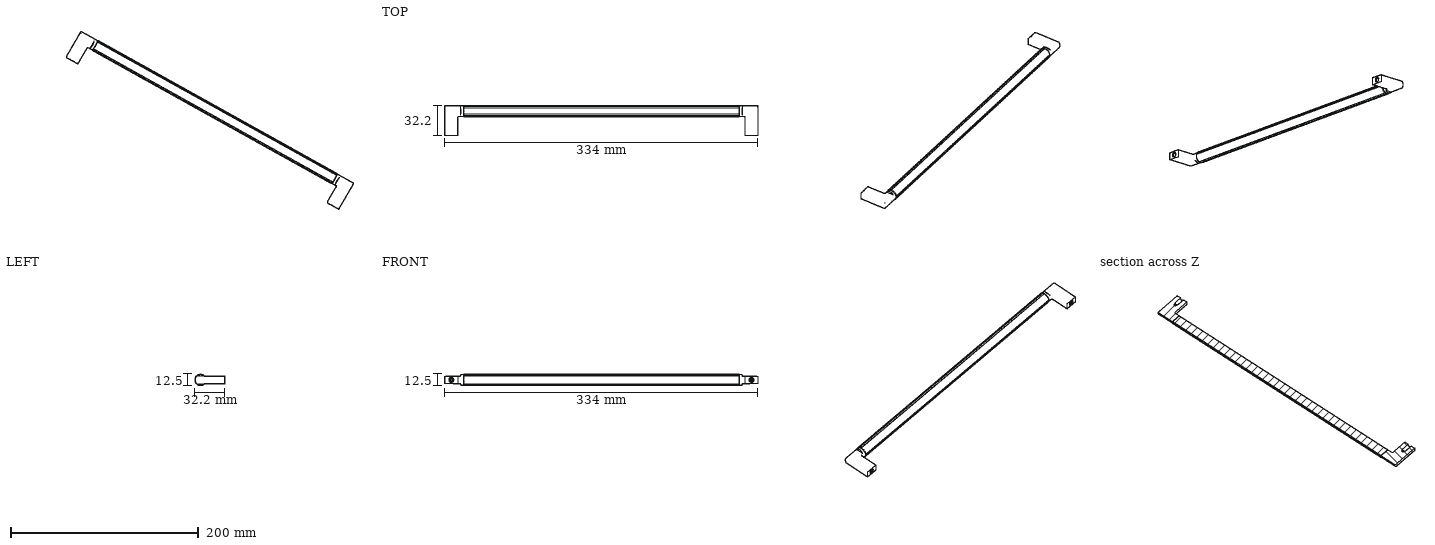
import cadquery as cq
import math

OVERALL_LENGTH = 334.0
LEG_REACH = 26.0

BAR_RADIUS = 12.5 / 2
BAR_INSET = 20.0
BAR_LENGTH = OVERALL_LENGTH - 2 * BAR_INSET
BAR_END_CHAMFER = 0.5
FLUTE_COUNT = 14
FLUTE_PITCH = 360 / FLUTE_COUNT
FLUTE_RADIUS = 0.87
FLUTE_WIDTH = 1.6
RIDGE_FILLET = 0.2

NECK_RADIUS = 11.7 / 2
LEG_WIDTH = 14.0
FLAT_LENGTH = 16.7
RAMP_LENGTH = 0.7
FLAT_END_HALF_HEIGHT = 8.5 / 2
TAPER_SLOPE = math.tan(math.radians(0.9))
EDGE_FILLET = 0.7
INNER_CORNER_FILLET = 1.0

HOLE_OFFSET = LEG_WIDTH / 2
HOLE_RADIUS = 3.7 / 2
HOLE_DEPTH = 10.0
MOUTH_CHAMFER = 0.85
PILOT_RADIUS = 2.0 / 2
PILOT_DEPTH = 12.0


def polar(radius, angle):
    """Point in the bar's cross-section at an angle in degrees from +Y."""
    return radius * math.cos(math.radians(angle)), radius * math.sin(math.radians(angle))


def make_bar():
    """Round bar with concave flutes all along it, rounded ridges and chamfered ends."""
    half_width = FLUTE_WIDTH / 2
    half_flute = math.degrees(math.asin(half_width / BAR_RADIUS))
    flute_sagitta = FLUTE_RADIUS - math.sqrt(FLUTE_RADIUS**2 - half_width**2)
    floor_radius = BAR_RADIUS * math.cos(math.radians(half_flute)) - flute_sagitta

    section = cq.Workplane("YZ").moveTo(*polar(BAR_RADIUS, -half_flute))
    for index in range(FLUTE_COUNT):
        flute = index * FLUTE_PITCH
        ridge = flute + FLUTE_PITCH / 2
        next_flute = flute + FLUTE_PITCH
        section = section.threePointArc(polar(floor_radius, flute), polar(BAR_RADIUS, flute + half_flute))
        section = section.threePointArc(polar(BAR_RADIUS, ridge), polar(BAR_RADIUS, next_flute - half_flute))
    fluted = section.close().extrude(BAR_LENGTH).edges("|X").fillet(RIDGE_FILLET)

    envelope = cq.Workplane("YZ").circle(BAR_RADIUS).extrude(BAR_LENGTH)
    envelope = envelope.faces("<X or >X").chamfer(BAR_END_CHAMFER)
    return fluted.intersect(envelope).translate((BAR_INSET, 0, 0))


def flat_half_height(x):
    """Height of the tapered flats above the bar axis, which grows towards the neck."""
    return FLAT_END_HALF_HEIGHT + (x - FLAT_LENGTH) * TAPER_SLOPE


def make_neck():
    return cq.Workplane("YZ").circle(NECK_RADIUS).extrude(BAR_INSET)


def make_elbow():
    """Round-backed leg and neck between the two tapered flats, with rounded edges."""
    leg = cq.Workplane("XY").box(LEG_WIDTH, LEG_REACH, 2 * NECK_RADIUS, centered=(False, False, True))
    leg = leg.translate((0, -LEG_REACH, 0))
    wedge = (
        cq.Workplane("XZ")
        .moveTo(0, -flat_half_height(0))
        .lineTo(BAR_INSET, -flat_half_height(BAR_INSET))
        .lineTo(BAR_INSET, flat_half_height(BAR_INSET))
        .lineTo(0, flat_half_height(0))
        .close()
        .extrude(LEG_REACH, both=True)
    )
    elbow = leg.union(make_neck()).intersect(wedge)

    inner_corner = cq.selectors.NearestToPointSelector((LEG_WIDTH, -NECK_RADIUS, 0))
    elbow = elbow.edges(inner_corner).fillet(INNER_CORNER_FILLET)
    return elbow.faces("<X or >Z or <Z").edges("not(<Y or >X)").fillet(EDGE_FILLET)


def make_collar():
    """Round end of the neck, with a ramp down to each flat of the elbow."""
    ramp_end = FLAT_LENGTH + RAMP_LENGTH
    profile = (
        cq.Workplane("XZ")
        .moveTo(FLAT_LENGTH, -FLAT_END_HALF_HEIGHT)
        .lineTo(ramp_end, -NECK_RADIUS)
        .lineTo(BAR_INSET, -NECK_RADIUS)
        .lineTo(BAR_INSET, NECK_RADIUS)
        .lineTo(ramp_end, NECK_RADIUS)
        .lineTo(FLAT_LENGTH, FLAT_END_HALF_HEIGHT)
        .close()
        .extrude(NECK_RADIUS, both=True)
    )
    return make_neck().intersect(profile)


def make_screw_hole():
    """Chamfered blind hole with a narrower pilot hole at its bottom."""
    foot = cq.Workplane("XZ", origin=(HOLE_OFFSET, -LEG_REACH, 0))
    hole = foot.circle(HOLE_RADIUS).extrude(-HOLE_DEPTH)
    pilot = foot.circle(PILOT_RADIUS).extrude(-PILOT_DEPTH)
    mouth = cq.Solid.makeCone(
        HOLE_RADIUS + MOUTH_CHAMFER,
        HOLE_RADIUS,
        MOUTH_CHAMFER,
        pnt=cq.Vector(HOLE_OFFSET, -LEG_REACH, 0),
        dir=cq.Vector(0, 1, 0),
    )
    return hole.union(pilot).union(cq.Workplane(mouth))


def make_bracket(is_right):
    """Bracket for the left end of the bar, or its mirror image for the right end."""
    bracket = make_elbow().union(make_collar()).cut(make_screw_hole())
    if is_right:
        bracket = bracket.mirror("YZ").translate((OVERALL_LENGTH, 0, 0))
    return bracket


bar = make_bar()
brackets = [make_bracket(is_right).solids().val() for is_right in (False, True)]

result = cq.Compound.makeCompound([bar.solids().val(), *brackets])